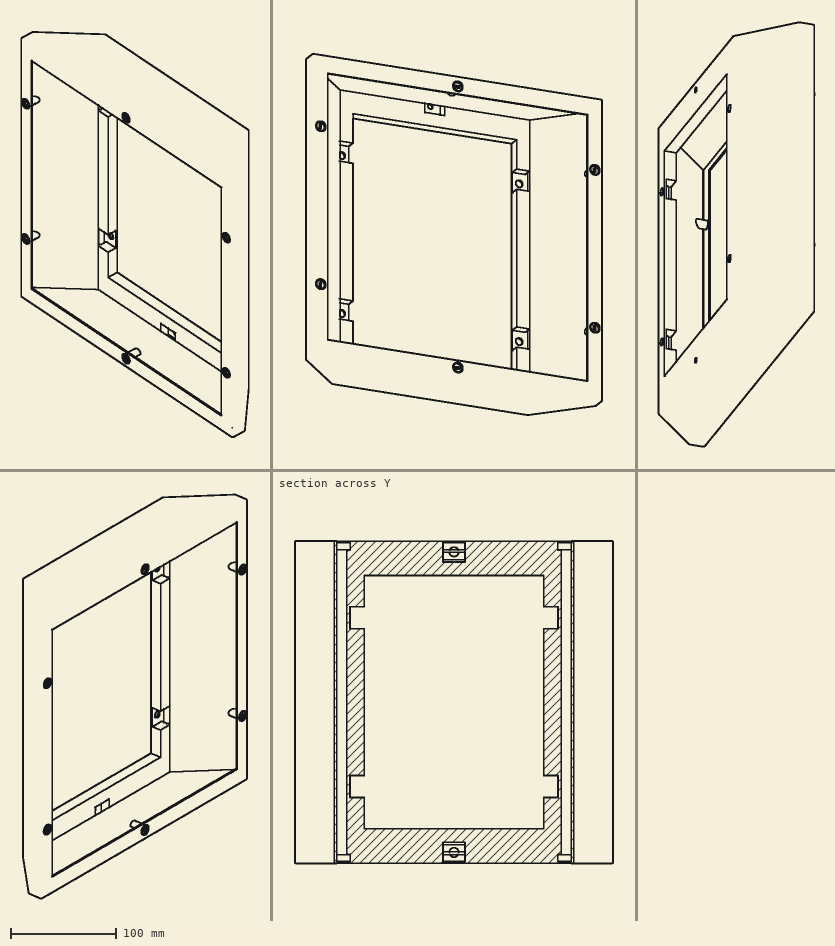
import cadquery as cq
import math

ROOT_TWO = math.sqrt(2)

width = 302.0
height = 306.0
depth = 65.0
side_depth = 16.0
bend_radius = 2.5
rim_radius = 1.5

skin = 2.0
lip_thickness = 1.5
liner = 2.5
funnel_height = 284.0

front_opening = 270.0
window_width = 170.0
window_height = 240.0

frame_width = 197.2
frame_thickness = 10.0

gap_z = 80.0
gap_length = 20.5
mount_hole_diameter = 7.2
mount_hole_x = 92.3

slot_depth = 9.0
slot_width = 20.5
slot_hole_diameter = 5.0
slot_hole_z = 144.0

side_screw_inset = 8.5
end_screw_inset = 10.5
shank_diameter = 8.9
shank_length = 14.5
head_diameter = 10.2
head_height = 0.6
socket_diameter = 8.9
socket_floor_y = 1.0
ridge_width = 2.4
ridge_length = 4.0

half_width = width / 2
half_height = height / 2
back_half_width = half_width - (depth - side_depth)
back_inner_y = depth - skin
frame_y = back_inner_y - frame_thickness
frame_half_width = frame_width / 2
funnel_half_height = funnel_height / 2
end_screw_z = half_height - end_screw_inset
side_screw_x = half_width - side_screw_inset

skin_half_width = half_width - skin
skin_half_height = half_height - skin
skin_back_half_width = back_half_width + skin - skin * ROOT_TWO
skin_bend_y = back_inner_y - (skin_half_width - skin_back_half_width)

liner_bend_y = frame_y - (skin_half_width - frame_half_width)
liner_step = liner * ROOT_TWO


def prism(points, half_length):
    """Extrude an outline in the XY plane to both sides of z = 0."""
    return cq.Workplane("XY").polyline(points).close().extrude(half_length, both=True)


def rod(x, z, diameter, y_start, y_end):
    """Cylinder along Y."""
    start = cq.Vector(x, y_start, z)
    along_y = cq.Vector(0, 1, 0)
    return cq.Workplane(cq.Solid.makeCylinder(diameter / 2, y_end - y_start, start, along_y))


def block(size_x, size_z, y_start, y_end, x=0.0, z=0.0):
    """Box given by its X and Z size, its Y range and its centre."""
    size_y = y_end - y_start
    centre = (x, y_start + size_y / 2, z)
    return cq.Workplane("XY").box(size_x, size_y, size_z).translate(centre)


def sloped_outline(half_side, half_back, front_y, bend_y, back_y):
    """Outline with straight sides that slope inwards to a narrower back."""
    return [
        (-half_side, front_y),
        (half_side, front_y),
        (half_side, bend_y),
        (half_back, back_y),
        (-half_back, back_y),
        (-half_side, bend_y),
    ]


def make_skin():
    """Outer sheet housing with sloped sides and a closed front and back."""
    outside = sloped_outline(half_width, back_half_width, 0, side_depth, depth)
    inside = sloped_outline(
        skin_half_width, skin_back_half_width, lip_thickness, skin_bend_y, back_inner_y
    )
    body = prism(outside, half_height)
    body = body.edges("|Z").fillet(bend_radius)
    body = body.faces("<Z or >Z").edges().fillet(rim_radius)
    return body.cut(prism(inside, skin_half_height))


def make_liner():
    """Inner funnel leading from the lip to the outer edge of the frame."""
    liner_end_y = frame_y + liner_step
    outside = sloped_outline(
        skin_half_width, frame_half_width, lip_thickness, liner_bend_y + liner_step, liner_end_y
    )
    inside = sloped_outline(
        skin_half_width, frame_half_width, lip_thickness, liner_bend_y, frame_y
    )
    funnel = prism(outside, funnel_half_height + liner).cut(prism(inside, funnel_half_height))
    return funnel.cut(block(frame_width, height, frame_y, liner_end_y))


def make_frame():
    """Raised frame on the back plate, reaching from the bottom skin to the top skin."""
    return block(frame_width, 2 * skin_half_height, frame_y, back_inner_y)


def cut_frame_gap(body, side, z):
    """Gap across an upright bar, with the edge of the liner bevelled behind it."""
    bevel = liner_step
    outline = [
        (side * window_width / 2, frame_y),
        (side * frame_half_width, frame_y),
        (side * (frame_half_width + bevel), frame_y + bevel),
        (side * frame_half_width, back_inner_y),
        (side * window_width / 2, back_inner_y),
    ]
    return body.cut(prism(outline, gap_length / 2).translate((0, 0, z)))


def cut_frame_slot(body, side):
    """Slot in the top or bottom bar, running behind the liner to the skin."""
    slot_start_z = funnel_half_height - slot_depth
    slot_height = skin_half_height - slot_start_z
    slot_z = slot_start_z + slot_height / 2
    return body.cut(block(slot_width, slot_height, frame_y, back_inner_y, z=side * slot_z))


def cut_back_openings(body):
    """Window, mounting holes and small holes through the back plate."""
    body = body.cut(block(window_width, window_height, frame_y, depth))
    for side in (-1, 1):
        body = body.cut(rod(0, side * slot_hole_z, slot_hole_diameter, back_inner_y, depth))
        for z in (-gap_z, gap_z):
            body = body.cut(rod(side * mount_hole_x, z, mount_hole_diameter, back_inner_y, depth))
    return body


def make_screw():
    """Screw on the Y axis with a round socket and a roof shaped ridge in it."""
    screw = rod(0, 0, shank_diameter, 0, shank_length)
    screw = screw.union(rod(0, 0, head_diameter, -head_height, lip_thickness))
    screw = screw.cut(rod(0, 0, socket_diameter, -head_height, socket_floor_y))
    roof = [
        (-ridge_width / 2, socket_floor_y),
        (ridge_width / 2, socket_floor_y),
        (0, socket_floor_y - ridge_width / 2),
    ]
    return screw.union(prism(roof, ridge_length / 2))


def add_screw(body, x, z, turn):
    """Set a screw into the lip, turned about its own axis."""
    screw = make_screw().rotate((0, 0, 0), (0, 1, 0), turn).translate((x, 0, z))
    body = body.cut(rod(x, z, head_diameter, 0, lip_thickness))
    return body.union(screw)


result = make_skin()
result = result.cut(block(front_opening, front_opening, 0, lip_thickness))
result = result.union(make_liner()).union(make_frame())
result = cut_back_openings(result)
for side in (-1, 1):
    result = cut_frame_slot(result, side)
    result = add_screw(result, 0, side * end_screw_z, 90)
    for z in (-gap_z, gap_z):
        result = cut_frame_gap(result, side, z)
        result = add_screw(result, side * side_screw_x, z, 0)